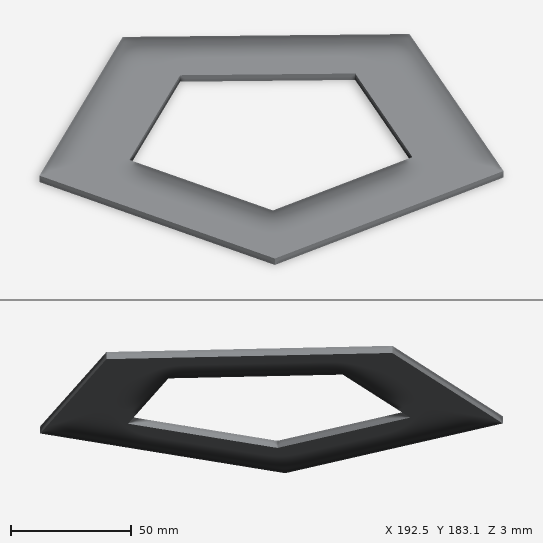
import cadquery as cq
import math

outer_width = 192.5
opening_width = 117.5
thickness = 3.0

SIDES = 5
WIDEST_CORNER_ANGLE = 18


def regular_pentagon(width):
    """Corners of a regular pentagon, one pointing along +Y, centred on the origin."""
    radius = width / (2 * math.cos(math.radians(WIDEST_CORNER_ANGLE)))
    corners = []
    for i in range(SIDES):
        angle = math.pi / 2 + i * 2 * math.pi / SIDES
        corners.append((radius * math.cos(angle), radius * math.sin(angle)))
    return corners


def pentagon_plate(width):
    return cq.Workplane("XY").polyline(regular_pentagon(width)).close().extrude(thickness)


result = pentagon_plate(outer_width).cut(pentagon_plate(opening_width))